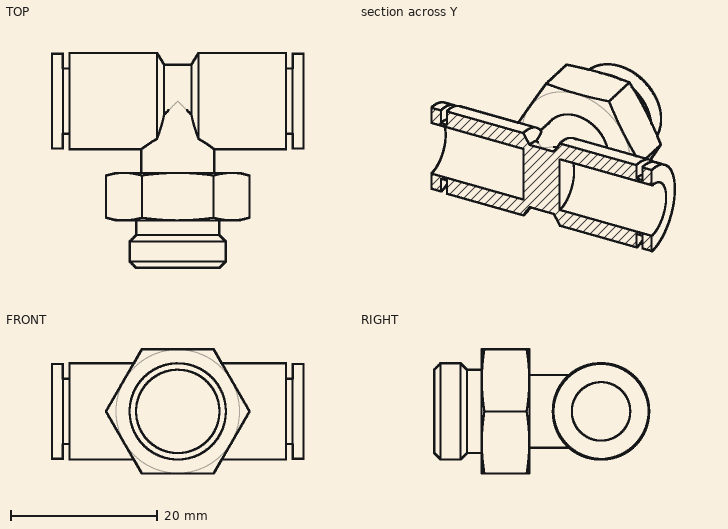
import cadquery as cq
import math

overall_length = 34.4
body_dia = 13.2
release_ring_dia = 13.0
release_ring_width = 1.5
groove_dia = 8.95
groove_width = 0.9
bore_dia = 8.0
waist_dia = 10.0
waist_length = 3.7
shoulder_length = 1.0

stem_dia = waist_dia
hex_sides = 6
hex_across_flats = 17.0
hex_face_dia = 16.9
hex_chamfer_angle = 15.0
hex_height = 6.5
plug_dia = 13.16
plug_neck_dia = 11.4
plug_neck_length = 2.0
plug_length = 4.5
stem_reach = 22.8

half_length = overall_length / 2
half_waist = waist_length / 2
body_outer_end = half_length - release_ring_width - groove_width
body_inner_end = half_waist + shoulder_length
plug_start = stem_reach - plug_length
hex_end = plug_start - plug_neck_length
hex_start = hex_end - hex_height
plug_chamfer = (plug_dia - plug_neck_dia) / 2
bore_depth = half_length - body_inner_end


def along_stem(distance):
    """Sketch plane facing -Y, at a distance from the tube axis."""
    return cq.Workplane("XZ", origin=(0, -distance, 0))


def make_arm():
    """Half of the tube run, on the +X side, turned about the X axis."""
    return (
        cq.Workplane("XY")
        .moveTo(0, 0)
        .lineTo(0, waist_dia / 2)
        .lineTo(half_waist, waist_dia / 2)
        .lineTo(body_inner_end, body_dia / 2)
        .lineTo(body_outer_end, body_dia / 2)
        .lineTo(body_outer_end, groove_dia / 2)
        .lineTo(half_length - release_ring_width, groove_dia / 2)
        .lineTo(half_length - release_ring_width, release_ring_dia / 2)
        .lineTo(half_length, release_ring_dia / 2)
        .lineTo(half_length, 0)
        .close()
        .revolve(360, (0, 0, 0), (1, 0, 0))
    )


def make_bore():
    """Blind tube bore, entering from the +X end."""
    return cq.Workplane("YZ", origin=(half_length - bore_depth, 0, 0)).circle(bore_dia / 2).extrude(bore_depth)


def make_hexagon():
    """Hexagon with corners on X, both end faces turned down to a cone."""
    corner_dia = hex_across_flats / math.cos(math.pi / hex_sides)
    face_radius = hex_face_dia / 2
    cone_radius = corner_dia
    cone_drop = (cone_radius - face_radius) * math.tan(math.radians(hex_chamfer_angle))
    prism = along_stem(hex_start).polygon(hex_sides, corner_dia).extrude(hex_height)
    turned_envelope = (
        cq.Workplane("XY")
        .moveTo(0, -hex_start)
        .lineTo(face_radius, -hex_start)
        .lineTo(cone_radius, -hex_start - cone_drop)
        .lineTo(cone_radius, -hex_end + cone_drop)
        .lineTo(face_radius, -hex_end)
        .lineTo(0, -hex_end)
        .close()
        .revolve(360, (0, 0, 0), (0, 1, 0))
    )
    return prism.intersect(turned_envelope)


def make_plug():
    """Neck and plug, the plug chamfered at both ends."""
    neck = along_stem(hex_end).circle(plug_neck_dia / 2).extrude(plug_neck_length)
    head = along_stem(plug_start).circle(plug_dia / 2).extrude(plug_length).edges().chamfer(plug_chamfer)
    return neck.union(head)


arm = make_arm()
bore = make_bore()
stem = along_stem(0).circle(stem_dia / 2).extrude(hex_start)

result = (
    arm.union(arm.mirror("YZ"))
    .union(stem)
    .union(make_hexagon())
    .union(make_plug())
    .cut(bore)
    .cut(bore.mirror("YZ"))
)